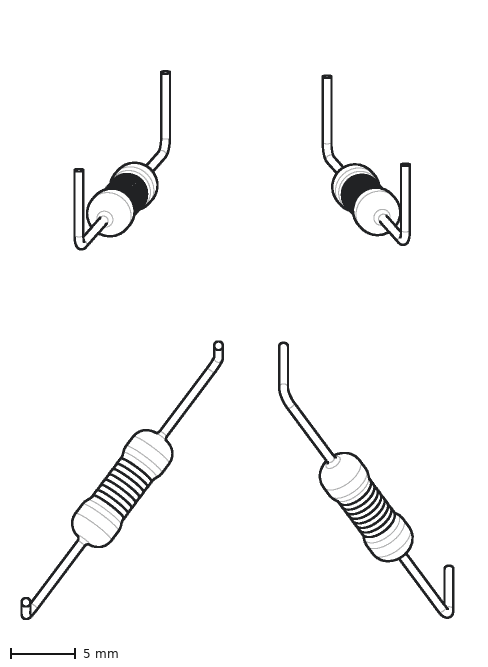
import cadquery as cq
import math

lead_span = 25.7
lead_diameter = 0.7
lead_height = 6.35
bend_radius = 1.05
cap_diameter = 3.5
waist_diameter = 2.98
band_diameter = 3.0
band_width = 0.51
band_count = 4
cap_outer_edge = 3.75
cap_inner_edge = 2.83
cap_end_radius = 1.25
blend_radius = 0.33

waist_edge = (2 * band_count - 1) * band_width / 2
cap_start = waist_edge - band_width

lead_radius = lead_diameter / 2
cap_radius = cap_diameter / 2
waist_radius = waist_diameter / 2
lead_offset = lead_span / 2 - lead_radius

end_arc_center_r = cap_radius - cap_end_radius
center_distance = cap_end_radius + blend_radius
center_step_r = lead_radius + blend_radius - end_arc_center_r
center_step_y = math.sqrt(center_distance**2 - center_step_r**2)
tangent_fraction = cap_end_radius / center_distance
blend_start = (
    end_arc_center_r + center_step_r * tangent_fraction,
    cap_outer_edge + center_step_y * tangent_fraction,
)
blend_end = (lead_radius, cap_outer_edge + center_step_y)

shoulder_middle = ((cap_radius + waist_radius) / 2, (cap_inner_edge + waist_edge) / 2)


def disc(diameter, width, center_y):
    """Make a cylinder on the Y axis, centred at the given Y."""
    return (
        cq.Workplane("XZ", origin=(0, center_y + width / 2, 0))
        .circle(diameter / 2)
        .extrude(width)
    )


def cap():
    """Revolve the +Y cap, from the waist to the lead."""
    profile = (
        cq.Workplane("XY")
        .moveTo(0, cap_start)
        .lineTo(waist_radius, cap_start)
        .lineTo(waist_radius, waist_edge)
        .tangentArcPoint(shoulder_middle, relative=False)
        .tangentArcPoint((cap_radius, cap_inner_edge), relative=False)
        .lineTo(cap_radius, cap_outer_edge)
        .tangentArcPoint(blend_start, relative=False)
        .tangentArcPoint(blend_end, relative=False)
        .lineTo(0, blend_end[1])
        .close()
    )
    return profile.revolve(360, (0, 0, 0), (0, 1, 0))


def lead():
    """Sweep the +Y lead from inside the cap, around the bend and up."""
    path = (
        cq.Workplane("YZ")
        .moveTo(cap_outer_edge, 0)
        .lineTo(lead_offset - bend_radius, 0)
        .tangentArcPoint((lead_offset, bend_radius), relative=False)
        .lineTo(lead_offset, lead_height)
    )
    section = cq.Workplane("XZ", origin=(0, cap_outer_edge, 0)).circle(lead_radius)
    return section.sweep(path)


cap_and_lead = cap().union(lead())
waist = disc(waist_diameter, 2 * cap_start, 0)
result = waist.union(cap_and_lead).union(cap_and_lead.mirror("XZ"))

for index in range(band_count):
    band_y = (index - (band_count - 1) / 2) * 2 * band_width
    result = result.union(disc(band_diameter, band_width, band_y))